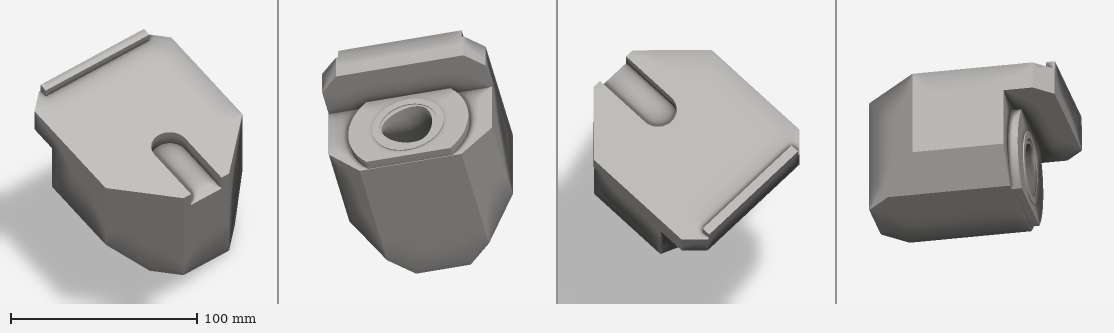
import cadquery as cq
import math

length = 106.0
width = 90.0
height = 69.0
lip_size = 5.0
lip_length = 68.0
top_z = height - lip_size
overhang = 26.0
overhang_thickness = 15.0
front_corner_chamfer = 10.0
rear_corner_chamfer = 30.0
bottom_edge_chamfer = 17.0

slot_width = 20.0
slot_start_x = 62.1
slot_depth = 9.0

axis_z = 24.0
flange_diameter = 66.1
flange_height = 47.3
flange_thickness = 5.3
ring_outer_diameter = 39.5
ring_inner_diameter = 31.6
ring_height = 0.6
flange_face_x = overhang - flange_thickness

lobe_mean_radius = 14.0
lobe_eccentricity = 0.9
socket_depth = 25.0
socket_taper_ratio = 20.0
socket_floor_radius = lobe_mean_radius - socket_depth / (2 * socket_taper_ratio)
lobe_curve_points = 36

pin_diameter = 2.5
pin_tip_y = -11.3
pin_root_y = -ring_outer_diameter / 2
pin_depth = 17.0


def make_block():
    """Body with an overhanging top plate, sloped lower edges and cut corners."""
    half_width = width / 2
    side_outline = (
        cq.Workplane("XZ")
        .moveTo(0, top_z)
        .lineTo(length, top_z)
        .lineTo(length, 0)
        .lineTo(overhang, 0)
        .lineTo(overhang, top_z - overhang_thickness)
        .lineTo(0, top_z - overhang_thickness)
        .close()
        .extrude(half_width, both=True)
    )
    plan = cq.Workplane("XY").rect(length, width).extrude(top_z).translate((length / 2, 0, 0))
    plan = plan.edges("|Z and <X").chamfer(front_corner_chamfer)
    plan = plan.edges("|Z and >X").chamfer(rear_corner_chamfer)
    end_section = cq.Workplane("XY").box(length, width, top_z, centered=(False, True, False))
    end_section = end_section.edges("|X and <Z").chamfer(bottom_edge_chamfer)
    return side_outline.intersect(plan).intersect(end_section)


def make_lip():
    """Raised strip along the front edge of the top face."""
    lip = cq.Workplane("XY").box(lip_size, lip_length, lip_size, centered=(False, True, False))
    return lip.translate((0, 0, top_z))


def make_slot():
    """Round-ended pocket running out through the rear face."""
    radius = slot_width / 2
    centre_x = slot_start_x + radius
    return (
        cq.Workplane("XY", origin=(0, 0, top_z - slot_depth))
        .moveTo(length, -radius)
        .lineTo(centre_x, -radius)
        .threePointArc((slot_start_x, 0), (centre_x, radius))
        .lineTo(length, radius)
        .close()
        .extrude(slot_depth)
    )


def axial_plane(x):
    """Workplane facing +X, centred on the socket axis."""
    return cq.Workplane("YZ", origin=(x, 0, axis_z))


def make_flange():
    """Disc with flats at top and bottom, carrying the raised ring."""
    disc = axial_plane(flange_face_x).circle(flange_diameter / 2).extrude(flange_thickness)
    flats = axial_plane(flange_face_x).rect(flange_diameter, flange_height).extrude(flange_thickness)
    ring = (
        axial_plane(flange_face_x - ring_height)
        .circle(ring_outer_diameter / 2)
        .circle(ring_inner_diameter / 2)
        .extrude(ring_height)
    )
    return disc.intersect(flats).union(ring)


def lobe_points(mean_radius):
    """Points on the constant-width three-lobed curve, with one lobe toward +Y."""
    points = []
    for index in range(lobe_curve_points):
        angle = 2 * math.pi * index / lobe_curve_points
        y = mean_radius * math.cos(angle)
        y += lobe_eccentricity * (2 * math.cos(2 * angle) - math.cos(4 * angle))
        z = mean_radius * math.sin(angle)
        z -= lobe_eccentricity * (2 * math.sin(2 * angle) + math.sin(4 * angle))
        points.append((y, z))
    return points


def make_socket():
    """Blind three-lobed taper, narrowing into the body."""
    return (
        axial_plane(flange_face_x)
        .spline(lobe_points(lobe_mean_radius), periodic=True)
        .close()
        .workplane(offset=socket_depth)
        .spline(lobe_points(socket_floor_radius), periodic=True)
        .close()
        .loft(ruled=True)
    )


def make_pin():
    """Round pin along Y, anchored in the socket wall."""
    pin_plane = cq.Workplane("XZ", origin=(flange_face_x + pin_depth, pin_tip_y, axis_z))
    return pin_plane.circle(pin_diameter / 2).extrude(pin_tip_y - pin_root_y)


result = make_block().union(make_lip()).cut(make_slot())
result = result.union(make_flange()).cut(make_socket()).union(make_pin())